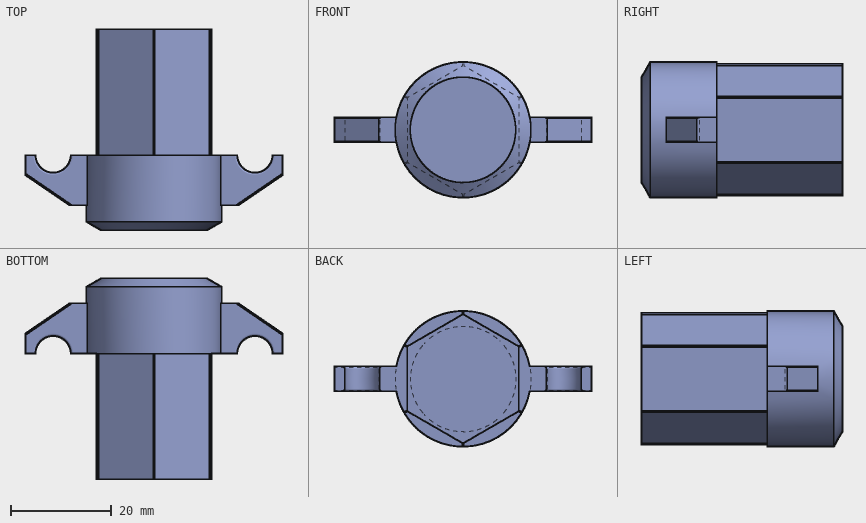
import cadquery as cq
import math

cap_diameter = 27.0
cap_length = 15.0
cap_bevel_length = 1.75
cap_face_diameter = 21.0

plug_length = 25.05
plug_corner_radius = 12.85
rib_tip_radius = 13.15
rib_width = 0.2

lug_span = 51.2
lug_thickness = 5.0
lug_root_depth = 10.05
lug_tip_depth = 4.0
lug_shoulder_x = 16.75
lug_edge_chamfer = 0.25
notch_center_x = 20.05
notch_radius = 3.5
notch_edge_fillet = 0.5


def make_cap():
    """Revolved cap with a conical bevel around its front face."""
    cap_radius = cap_diameter / 2
    return (
        cq.Workplane("XY")
        .moveTo(0, 0)
        .lineTo(cap_radius, 0)
        .lineTo(cap_radius, cap_bevel_length - cap_length)
        .lineTo(cap_face_diameter / 2, -cap_length)
        .lineTo(0, -cap_length)
        .close()
        .revolve(360, (0, 0, 0), (0, 1, 0))
    )


def make_plug():
    """Hexagonal prism with corners at top and bottom, ribbed at every corner."""
    corner_angles = [90 + 60 * i for i in range(6)]
    corners = [
        (
            plug_corner_radius * math.cos(math.radians(angle)),
            plug_corner_radius * math.sin(math.radians(angle)),
        )
        for angle in corner_angles
    ]
    plug = cq.Workplane("XZ").polyline(corners).close().extrude(-plug_length)
    for angle in corner_angles[:3]:
        bar = cq.Workplane("XZ").rect(2 * rib_tip_radius, rib_width).extrude(-plug_length)
        plug = plug.union(bar.rotate((0, 0, 0), (0, 1, 0), angle))
    return plug


def make_lug():
    """Lug on the +X side: tapered plate with a rounded-edge half-round notch."""
    tip_x = lug_span / 2
    lug = (
        cq.Workplane("XY")
        .polyline([
            (0, 0),
            (tip_x, 0),
            (tip_x, -lug_tip_depth),
            (lug_shoulder_x, -lug_root_depth),
            (0, -lug_root_depth),
        ])
        .close()
        .extrude(lug_thickness / 2, both=True)
    )
    slope_direction = cq.Vector(tip_x - lug_shoulder_x, lug_root_depth - lug_tip_depth, 0)
    lug = lug.edges(cq.selectors.ParallelDirSelector(slope_direction)).chamfer(lug_edge_chamfer)
    notch = (
        cq.Workplane("XY")
        .center(notch_center_x, 0)
        .circle(notch_radius)
        .extrude(lug_thickness / 2, both=True)
    )
    return lug.cut(notch).edges("%CIRCLE").fillet(notch_edge_fillet)


right_lug = make_lug()
left_lug = right_lug.mirror("YZ")
result = make_cap().union(make_plug()).union(right_lug).union(left_lug)